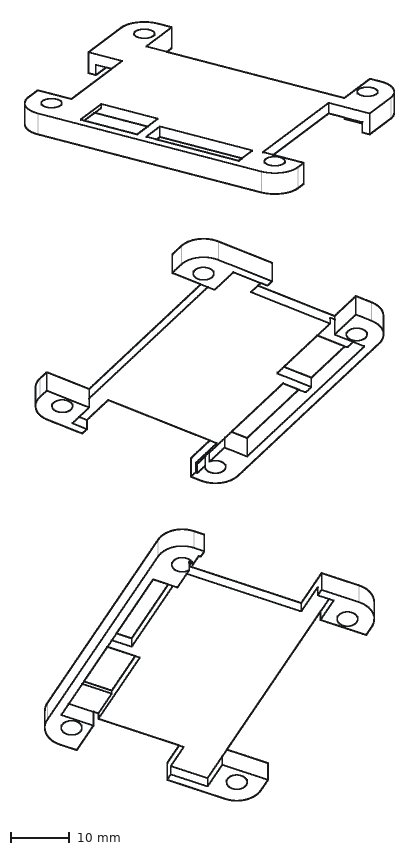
import cadquery as cq

length = 53.2
width = 40.2
height = 4.0
corner_radius = 4.6
hole_diameter = 3.5
side_wall = 1.5
front_wall = 1.65
deck_thickness = 2.0
deck_bottom = height - deck_thickness

back_notch_left, back_notch_right = 7.35, 46.45
back_notch_y = 31.6
left_notch_x = 6.65
left_notch_front, left_notch_back = 7.7, 24.7
right_notch_x = 45.1
right_notch_front, right_notch_back = 6.6, 28.6

wide_window_left, wide_window_right = 25.0, 43.25
wide_window_back = 6.2
deep_window_left, deep_window_right = 12.0, 23.2
deep_window_back = 8.6

recess_roof = 0.75


def block(x_min, x_max, y_min, y_max, z_min=0.0, z_max=height):
    """Axis-aligned block between the given limits."""
    return cq.Workplane("XY").box(
        x_max - x_min, y_max - y_min, z_max - z_min, centered=False
    ).translate((x_min, y_min, z_min))


body = block(0, length, 0, width).edges("|Z").fillet(corner_radius)

cavity = block(side_wall, length - side_wall, front_wall, back_notch_y, 0, deck_bottom)
front_left_block = block(0, left_notch_x, 0, left_notch_front)
front_right_block = block(wide_window_right, length, 0, wide_window_back)
body = body.cut(cavity.cut(front_left_block).cut(front_right_block))

body = body.cut(
    block(left_notch_x, deep_window_left, front_wall, deep_window_back, 0, height - recess_roof)
)

body = body.cut(block(back_notch_left, back_notch_right, back_notch_y, width))
body = body.cut(block(0, left_notch_x, left_notch_front, left_notch_back))
body = body.cut(block(right_notch_x, length, right_notch_front, right_notch_back))

body = body.cut(block(deep_window_left, deep_window_right, front_wall, deep_window_back))
body = body.cut(block(wide_window_left, wide_window_right, front_wall, wide_window_back))

for x in (corner_radius, length - corner_radius):
    for y in (corner_radius, width - corner_radius):
        hole = cq.Workplane("XY").center(x, y).circle(hole_diameter / 2).extrude(height)
        body = body.cut(hole)

result = body